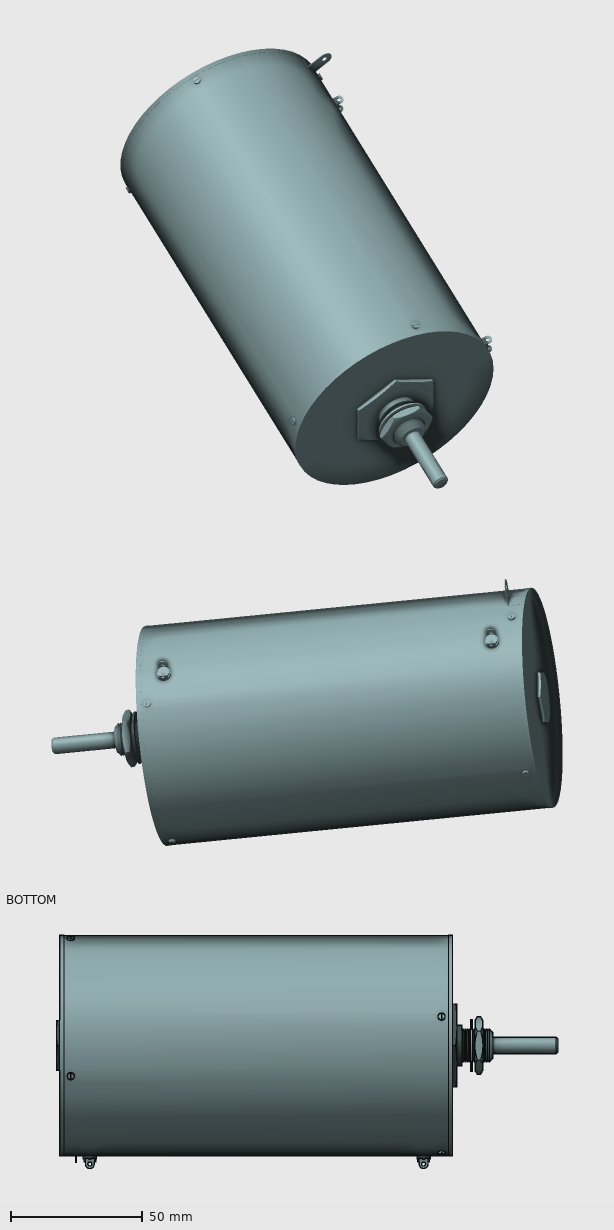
import cadquery as cq
import math


housing_radius = 84.33 / 2
housing_length = 149.8
sheet_thickness = 0.3
rim_width = 1.7
rim_step = 0.1
shell_radius = housing_radius - rim_step

rear_hex_flats = 19.05
rear_hex_height = 1.2

thin_hex_bevel_angle = 12
nut_bevel_angle = 30

screw_radius = 1.35
screw_height = 0.85
screw_root_depth = 0.5
screw_inset = 4.25
screw_count = 4
rear_screw_angle = 16
front_screw_angle = -15
screw_slot_width = 0.2
screw_slot_depth = 0.3

lug_angle = 31
lug_width = 6.0
lug_x = 6.35
lug_hole_radial = 48.6
lug_hole_diameter = 2.0

terminal_positions = (11.5, 138.7)
terminal_z = 0.4
terminal_sink = 1.0
terminal_foot_radius = 2.6
terminal_foot_top = 43.2
terminal_post_radius = 2.3
terminal_post_top = 44.4
prong_width = 3.4
prong_thickness = 0.4
prong_root_y = 43.0
prong_hole_y = 45.25
prong_hole_diameter = 1.5
prong_offset = 2.4
prong_splay = 10

flange_flats = 31.75
flange_height = 1.6
collar_radius = 15.5 / 2
collar_length = 1.9
thread_radius = 12.7 / 2
thread_pitch = 25.4 / 28
thread_depth = 0.5
thread_count = 12
bushing_tip_chamfer = 0.9

shaft_radius = 6.35 / 2
overall_length = 191.13
shaft_end = overall_length - rear_hex_height
shaft_chamfer = 0.7

washer_radius = 10.0
washer_thickness = 0.7
washer_x = 156.6
nut_flats = 19.05
nut_thickness = 3.0
nut_x = 158.3

flange_face = housing_length + flange_height
thread_start = flange_face + collar_length


def x_cylinder(radius, start, length):
    """Cylinder on the X axis."""
    return cq.Workplane("YZ", origin=(start, 0, 0)).circle(radius).extrude(length)


def x_hexagon(flats, start, length, corner_angle):
    """Hexagonal prism on the X axis, with one corner at the given angle from +Y."""
    corners_diameter = flats / math.cos(math.pi / 6)
    prism = cq.Workplane("YZ", origin=(start, 0, 0)).polygon(6, corners_diameter).extrude(length)
    return prism.rotate((0, 0, 0), (1, 0, 0), corner_angle)


def corner_bevel(flats, start, length, bevel_angle, bevel_rear, bevel_front):
    """Disc around a hexagon; a beveled end narrows to the circle that touches the flats."""
    face_radius = flats / 2
    corner_radius = face_radius / math.cos(math.pi / 6)
    bevel_length = (corner_radius - face_radius) * math.tan(math.radians(bevel_angle))
    disc = x_cylinder(corner_radius, start, length)
    if bevel_rear:
        disc = disc.faces("<X").chamfer(bevel_length, corner_radius - face_radius)
    if bevel_front:
        disc = disc.faces(">X").chamfer(bevel_length, corner_radius - face_radius)
    return disc


def make_screw(x, angle):
    """Slotted screw head standing on the shell; the slot runs around the housing."""
    slot_floor = shell_radius + screw_height - screw_slot_depth
    head = (
        cq.Workplane("XZ", origin=(x, shell_radius - screw_root_depth, 0))
        .circle(screw_radius)
        .extrude(-(screw_root_depth + screw_height))
    )
    slot = cq.Workplane("XY").box(
        screw_slot_width, screw_slot_depth, 2 * screw_radius, centered=(True, False, True)
    )
    head = head.cut(slot.translate((x, slot_floor, 0)))
    return head.rotate((0, 0, 0), (1, 0, 0), angle)


def make_lug():
    """Tab running forward from the rear rim, ending in a radial plate with an eye."""
    root_radial = housing_radius - sheet_thickness
    tab = x_cylinder(housing_radius, 0, lug_x).cut(x_cylinder(root_radial, 0, lug_x))
    strip = cq.Workplane("XY").box(lug_x, housing_radius, lug_width, centered=(False, False, True))
    tab = tab.intersect(strip)
    plate = (
        cq.Workplane("YZ", origin=(lug_x - sheet_thickness, 0, 0))
        .moveTo(root_radial, -lug_width / 2)
        .lineTo(lug_hole_radial, -lug_width / 2)
        .threePointArc((lug_hole_radial + lug_width / 2, 0), (lug_hole_radial, lug_width / 2))
        .lineTo(root_radial, lug_width / 2)
        .close()
        .extrude(sheet_thickness)
    )
    eye = (
        cq.Workplane("YZ", origin=(lug_x - sheet_thickness, 0, 0))
        .center(lug_hole_radial, 0)
        .circle(lug_hole_diameter / 2)
        .extrude(sheet_thickness)
    )
    return tab.union(plate.cut(eye)).rotate((0, 0, 0), (1, 0, 0), lug_angle)


def make_prong(side):
    """Eyelet strip above (side = 1) or below (side = -1) the terminal axis, splayed outward."""
    prong = (
        cq.Workplane("XY", origin=(0, 0, -prong_thickness / 2))
        .moveTo(-prong_width / 2, prong_root_y)
        .lineTo(-prong_width / 2, prong_hole_y)
        .threePointArc((0, prong_hole_y + prong_width / 2), (prong_width / 2, prong_hole_y))
        .lineTo(prong_width / 2, prong_root_y)
        .close()
        .extrude(prong_thickness)
    )
    eye = (
        cq.Workplane("XY", origin=(0, prong_hole_y, -prong_thickness / 2))
        .circle(prong_hole_diameter / 2)
        .extrude(prong_thickness)
    )
    prong = prong.cut(eye).rotate((0, prong_root_y, 0), (1, prong_root_y, 0), side * prong_splay)
    return prong.translate((0, 0, side * prong_offset))


def make_terminal(x):
    """Stepped round post on the +Y side carrying two splayed eyelets."""
    root = cq.Workplane("XZ", origin=(0, shell_radius - terminal_sink, 0))
    foot = root.circle(terminal_foot_radius).extrude(shell_radius - terminal_sink - terminal_foot_top)
    post = root.circle(terminal_post_radius).extrude(shell_radius - terminal_sink - terminal_post_top)
    terminal = foot.union(post).union(make_prong(1)).union(make_prong(-1))
    return terminal.translate((x, 0, terminal_z))


def make_housing():
    housing = x_cylinder(shell_radius, 0, housing_length)
    for rim_start in (0, housing_length - rim_width):
        housing = housing.union(x_cylinder(housing_radius, rim_start, rim_width))

    rear_hex = x_hexagon(rear_hex_flats, -rear_hex_height, rear_hex_height, 90)
    rear_bevel = corner_bevel(
        rear_hex_flats, -rear_hex_height, rear_hex_height, thin_hex_bevel_angle, True, False
    )
    housing = housing.union(rear_hex.intersect(rear_bevel))

    for index in range(screw_count):
        turn = index * 360 / screw_count
        housing = housing.union(make_screw(screw_inset, rear_screw_angle + turn))
        housing = housing.union(make_screw(housing_length - screw_inset, front_screw_angle + turn))

    for x in terminal_positions:
        housing = housing.union(make_terminal(x))
    return housing.union(make_lug())


def make_bushing():
    """Hexagonal flange, round collar and ringed thread, bored for the shaft."""
    root_radius = thread_radius - thread_depth
    thread_end = thread_start + thread_count * thread_pitch
    points = [(flange_face, shaft_radius), (flange_face, collar_radius), (thread_start, collar_radius)]
    for index in range(thread_count):
        groove_start = thread_start + index * thread_pitch
        points.append((groove_start, root_radius))
        points.append((groove_start + thread_pitch / 2, thread_radius))
    points += [
        (thread_end, root_radius),
        (thread_end + bushing_tip_chamfer, root_radius - bushing_tip_chamfer),
        (thread_end + bushing_tip_chamfer, shaft_radius),
    ]
    barrel = cq.Workplane("XY").polyline(points).close().revolve(360, (0, 0, 0), (1, 0, 0))
    flange = x_hexagon(flange_flats, housing_length, flange_height, 90)
    bevel = corner_bevel(flange_flats, housing_length, flange_height, thin_hex_bevel_angle, False, True)
    flange = flange.intersect(bevel)
    return flange.cut(x_cylinder(shaft_radius, housing_length, flange_height)).union(barrel)


def make_shaft():
    shaft = x_cylinder(shaft_radius, housing_length, shaft_end - housing_length)
    return shaft.faces(">X").chamfer(shaft_chamfer)


def make_washer():
    washer = x_cylinder(washer_radius, washer_x, washer_thickness)
    return washer.cut(x_cylinder(thread_radius, washer_x, washer_thickness))


def make_nut():
    nut = x_hexagon(nut_flats, nut_x, nut_thickness, 0)
    bevel = corner_bevel(nut_flats, nut_x, nut_thickness, nut_bevel_angle, True, True)
    return nut.intersect(bevel).cut(x_cylinder(thread_radius, nut_x, nut_thickness))


housing = make_housing()
bushing = make_bushing()
shaft = make_shaft()
washer = make_washer()
nut = make_nut()

result = cq.Compound.makeCompound(
    [housing.val(), bushing.val(), shaft.val(), washer.val(), nut.val()]
)